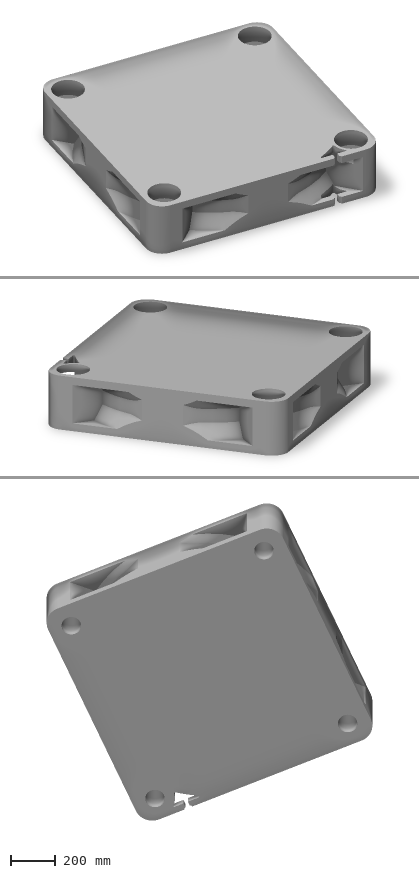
import cadquery as cq
import math

side = 1143.0
height = 254.0
half_side = side / 2
corner_radius = 80.0

hole_inset = 103.0
hole_diameter = 87.0
counterbore_diameter = 151.0
counterbore_depth = 80.0
hole_position = half_side - hole_inset

skin = 37.0
pocket_top = height - skin
pocket_near_edge = 141.0 - half_side
wide_pocket_near_edge = 95.0 - half_side
pocket_far_edge = 472.0 - half_side
end_face_x = 406.0 - half_side

hub_band_radius = 572.0
hub_floor_radius = 612.0
hub_ceiling_radius = 594.0
hub_band_bottom = 106.0
hub_band_top = 171.0

notch_base_x = half_side - 30.0
notch_arc_radius = 89.0
notch_tip_angle = 272.0
notch_hub_radius = 605.0
notch_rounding = 5.0
slot_width = 22.0
slot_middle_y = 351.0
slot_mouth_rounding = 8.0


def make_plate():
    plate = cq.Workplane("XY").rect(side, side).extrude(height)
    return plate.edges("|Z").fillet(corner_radius)


def make_hub():
    """Core between the pockets: a straight band with a cone flaring out below and above it."""
    profile = [
        (0, skin),
        (hub_floor_radius, skin),
        (hub_band_radius, hub_band_bottom),
        (hub_band_radius, hub_band_top),
        (hub_ceiling_radius, pocket_top),
        (0, pocket_top),
    ]
    return cq.Workplane("XZ").polyline(profile).close().revolve(360, (0, 0), (0, 1))


def make_pocket(near_edge):
    """Pocket in the -Y side, beside the (-X, -Y) corner."""
    end_face_y = -math.sqrt(hub_band_radius**2 - end_face_x**2)
    diagonal_wall_rise = end_face_x - near_edge
    outline = [
        (near_edge, -half_side),
        (end_face_x, -half_side + diagonal_wall_rise),
        (end_face_x, end_face_y),
        (pocket_far_edge, -half_side),
    ]
    blank = cq.Workplane("XY").workplane(offset=skin).polyline(outline).close().extrude(pocket_top - skin)
    return blank.cut(make_hub())


def turned(body, quarter_turns):
    return body.rotate((0, 0, 0), (0, 0, 1), 90 * quarter_turns)


def cut_pockets(body):
    pocket = make_pocket(pocket_near_edge)
    for one_pocket in (pocket, pocket.mirror("YZ")):
        for quarter_turns in range(4):
            body = body.cut(turned(one_pocket, quarter_turns))
    wide_pocket = make_pocket(wide_pocket_near_edge).mirror("YZ")
    return body.cut(turned(wide_pocket, 1))


def cut_screw_holes(body):
    return (
        body.faces(">Z")
        .workplane(origin=(0, 0, height))
        .rect(2 * hole_position, 2 * hole_position, forConstruction=True)
        .vertices()
        .cboreHole(hole_diameter, counterbore_diameter, counterbore_depth)
    )


def point_on_circle(center, radius, angle_degrees):
    """Point on a circle whose centre has the same X and Y."""
    angle = math.radians(angle_degrees)
    return (center + radius * math.cos(angle), center + radius * math.sin(angle))


def make_notch():
    """Triangle with one side curved around the counterbore and one around the hub, all corners rounded."""
    base_offset = notch_base_x - hole_position
    top_angle = 360 - math.degrees(math.acos(base_offset / notch_arc_radius))
    tip = point_on_circle(hole_position, notch_arc_radius, notch_tip_angle)
    low_angle = math.degrees(math.acos(notch_base_x / notch_hub_radius))
    tip_hub_angle = math.degrees(math.atan2(tip[1], tip[0]))
    triangle = (
        cq.Workplane("XY")
        .moveTo(*point_on_circle(hole_position, notch_arc_radius, top_angle))
        .threePointArc(
            point_on_circle(hole_position, notch_arc_radius, (top_angle + notch_tip_angle) / 2),
            tip,
        )
        .threePointArc(
            point_on_circle(0, notch_hub_radius, (low_angle + tip_hub_angle) / 2),
            point_on_circle(0, notch_hub_radius, low_angle),
        )
        .close()
        .extrude(height)
    )
    return triangle.edges("|Z").fillet(notch_rounding)


def make_slot():
    """Slot from the notch to the +X side, widening at its mouth with two rounded edges."""
    low_y = slot_middle_y - slot_width / 2
    high_y = slot_middle_y + slot_width / 2
    mouth_x = half_side - slot_mouth_rounding
    start_x = notch_base_x - slot_width / 2
    return (
        cq.Workplane("XY")
        .moveTo(start_x, low_y)
        .lineTo(mouth_x, low_y)
        .radiusArc((half_side, low_y - slot_mouth_rounding), -slot_mouth_rounding)
        .lineTo(half_side, high_y + slot_mouth_rounding)
        .radiusArc((mouth_x, high_y), -slot_mouth_rounding)
        .lineTo(start_x, high_y)
        .close()
        .extrude(height)
    )


plate = cut_screw_holes(cut_pockets(make_plate()))
result = plate.cut(make_notch()).cut(make_slot())